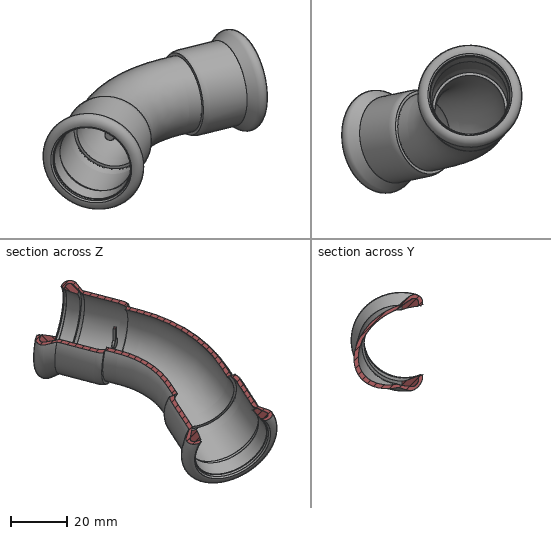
import cadquery as cq
import math

bend_angle = 45.0
bend_radius = 41.9
straight_length = 30.6
tube_outer_radius = 28.0 / 2
bore_radius = 25.0 / 2

bend_centre = (bend_radius, straight_length, 0)

cone_end = 7.9
taper_start = 22.9
inner_taper_start = 22.1
stop_depth = 25.4

socket_outer_radius = 31.3 / 2
socket_bore_radius = 28.2 / 2
mouth_radius = 28.8 / 2
seat_radius = 27.0 / 2
wall = socket_outer_radius - socket_bore_radius
taper_inset = socket_bore_radius - seat_radius
taper_end_radius = socket_outer_radius - taper_inset

bead_section_radius = 2.9
bead_cone_angle = 40.0
lip_rounding = 0.6
bead_centre_radius = socket_outer_radius
groove_section_radius = bead_section_radius - wall
inner_cone_end = 8.4
seal_throat_radius = seat_radius
seal_front_radius = socket_bore_radius
seal_end = 6.9

marker_thickness = 0.9
marker_disc_radius = 1.9
marker_web_width = 1.2


def revolved(profile):
    """Turn a (radius, distance along Y) profile about the Y axis."""
    return profile.revolve(360, (0, 0, 0), (0, 1, 0))


def at_near_end(body):
    """Leave a body at the end where it was made."""
    return body


def at_far_end(body):
    """Mirror a body in the plane halfway round the bend, onto the second end."""
    half_angle = math.radians(bend_angle / 2)
    normal = (math.sin(half_angle), math.cos(half_angle), 0)
    return body.mirror(cq.Vector(*normal), bend_centre)


def bead_point(angle, section_radius):
    """Point on a circle about the bead section's centre, with the angle measured from the outward radius."""
    a = math.radians(angle)
    return (
        bead_centre_radius + section_radius * math.cos(a),
        bead_section_radius + section_radius * math.sin(a),
    )


def taper_arc_middle(start_radius, start_depth):
    """Middle point of an arc that leaves the cylinder tangentially and closes in by the inset."""
    length = stop_depth - start_depth
    arc_radius = (length**2 + taper_inset**2) / (2 * taper_inset)
    half_sweep = math.asin(length / arc_radius) / 2
    return (
        start_radius - arc_radius * (1 - math.cos(half_sweep)),
        start_depth + arc_radius * math.sin(half_sweep),
    )


def inner_cone_radius(depth):
    """Radius, at a given depth, of the cone that leads from the bead groove down to the socket bore."""
    groove_radius, groove_depth = bead_point(bead_cone_angle, groove_section_radius)
    slope = (groove_radius - socket_bore_radius) / (inner_cone_end - groove_depth)
    return socket_bore_radius + slope * (inner_cone_end - depth)


def make_seal():
    """Seal ring: rounded outside to fill the bead, with a lead-in cone inside."""
    profile = (
        cq.Workplane("XY")
        .moveTo(seal_front_radius, wall)
        .lineTo(bead_centre_radius, wall)
        .threePointArc(bead_point(0, groove_section_radius), bead_point(bead_cone_angle, groove_section_radius))
        .lineTo(inner_cone_radius(seal_end), seal_end)
        .lineTo(seal_throat_radius, seal_end)
        .close()
    )
    return revolved(profile)


def make_socket():
    """Socket with its bead and straight tube end, grooved for the seal ring."""
    profile = (
        cq.Workplane("XY")
        .moveTo(mouth_radius, lip_rounding)
        .radiusArc((mouth_radius + lip_rounding, 0), lip_rounding)
        .lineTo(bead_centre_radius, 0)
        .threePointArc(bead_point(0, bead_section_radius), bead_point(bead_cone_angle, bead_section_radius))
        .lineTo(socket_outer_radius, cone_end)
        .lineTo(socket_outer_radius, taper_start)
        .threePointArc(taper_arc_middle(socket_outer_radius, taper_start), (taper_end_radius, stop_depth))
        .lineTo(tube_outer_radius, stop_depth)
        .lineTo(tube_outer_radius, straight_length)
        .lineTo(bore_radius, straight_length)
        .lineTo(bore_radius, stop_depth)
        .lineTo(seat_radius, stop_depth)
        .threePointArc(taper_arc_middle(socket_bore_radius, inner_taper_start), (socket_bore_radius, inner_taper_start))
        .lineTo(socket_bore_radius, inner_cone_end)
        .lineTo(*bead_point(bead_cone_angle, groove_section_radius))
        .threePointArc(bead_point(0, groove_section_radius), (bead_centre_radius, wall))
        .lineTo(mouth_radius, wall)
        .close()
    )
    return revolved(profile)


def make_bend():
    """Curved tube between the two straight ends."""
    plane = cq.Workplane("XZ", origin=(0, straight_length, 0))
    section = plane.circle(tube_outer_radius).circle(bore_radius)
    return section.revolve(bend_angle, (bend_radius, 0, 0), (bend_radius, -1, 0))


def make_marker():
    """Disc and web on the mouth side of the stop face."""
    plane = cq.Workplane("XZ", origin=(0, stop_depth, 0))
    disc = plane.circle(marker_disc_radius).extrude(marker_thickness)
    web_length = socket_bore_radius
    web = plane.center(0, web_length / 2).rect(marker_web_width, web_length).extrude(marker_thickness)
    return disc.union(web)


socket = make_socket()
elbow = make_bend().union(make_marker())
for place in (at_near_end, at_far_end):
    elbow = elbow.union(place(socket))
seals = [place(make_seal()) for place in (at_near_end, at_far_end)]

result = cq.Compound.makeCompound([elbow.val(), *(seal.val() for seal in seals)])